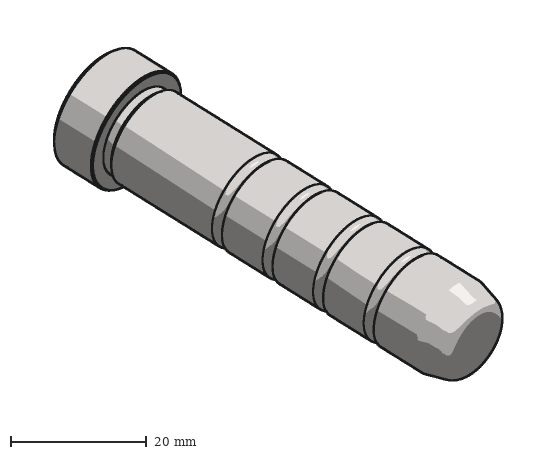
import cadquery as cq
import math

length = 75.0
head_radius = 30 / 3
head_length = 24 / 3
head_front_chamfer = 0.5
head_back_chamfer = 0.2

neck_radius = 7.5
neck_end = 9.5
shank_radius = 24 / 3
shank_chamfer = shank_radius - neck_radius

groove_count = 4
first_groove_center = 30.9
groove_pitch = 30 / 3
groove_width = 1.95
groove_depth = 0.7

taper_start = 70.0
taper_angle = 15.0
taper_blend_radius = 1.0
tip_radius = 2.0

center_mouth_radius = 2.25
center_pilot_radius = 1.3
center_cone_half_angle = 45.0
center_pilot_length = 2.25
drill_tip_half_angle = 60.0


def make_body():
    """Revolve the stepped outline without grooves, then round the lead-in edges."""
    taper_drop = (length - taper_start) * math.tan(math.radians(taper_angle))
    body = (
        cq.Workplane("XY")
        .moveTo(0, 0)
        .lineTo(0, head_radius - head_front_chamfer)
        .lineTo(head_front_chamfer, head_radius)
        .lineTo(head_length - head_back_chamfer, head_radius)
        .lineTo(head_length, head_radius - head_back_chamfer)
        .lineTo(head_length, neck_radius)
        .lineTo(neck_end, neck_radius)
        .lineTo(neck_end + shank_chamfer, shank_radius)
        .lineTo(taper_start, shank_radius)
        .lineTo(length, shank_radius - taper_drop)
        .lineTo(length, 0)
        .close()
        .revolve(360, (0, 0, 0), (1, 0, 0))
    )
    body = body.faces(">X").edges("%CIRCLE").fillet(tip_radius)
    taper_edge = cq.selectors.BoxSelector(
        (taper_start - 0.1, -head_radius, -head_radius),
        (taper_start + 0.1, head_radius, head_radius),
    )
    return body.edges(taper_edge).edges("%CIRCLE").fillet(taper_blend_radius)


def make_groove(center):
    """Ring with a circular-arc floor, to be cut from the shank."""
    half_width = groove_width / 2
    outer_radius = shank_radius + groove_depth
    return (
        cq.Workplane("XY")
        .moveTo(center - half_width, outer_radius)
        .lineTo(center - half_width, shank_radius)
        .threePointArc(
            (center, shank_radius - groove_depth),
            (center + half_width, shank_radius),
        )
        .lineTo(center + half_width, outer_radius)
        .close()
        .revolve(360, (0, 0, 0), (1, 0, 0))
    )


def make_center_hole():
    """Conical mouth, cylindrical pilot and pointed drill tip."""
    cone_half_angle = math.radians(center_cone_half_angle)
    cone_depth = (center_mouth_radius - center_pilot_radius) / math.tan(cone_half_angle)
    pilot_end = cone_depth + center_pilot_length
    tip_depth = center_pilot_radius / math.tan(math.radians(drill_tip_half_angle))
    return (
        cq.Workplane("XY")
        .moveTo(0, 0)
        .lineTo(0, center_mouth_radius)
        .lineTo(cone_depth, center_pilot_radius)
        .lineTo(pilot_end, center_pilot_radius)
        .lineTo(pilot_end + tip_depth, 0)
        .close()
        .revolve(360, (0, 0, 0), (1, 0, 0))
    )


result = make_body()
for index in range(groove_count):
    result = result.cut(make_groove(first_groove_center + index * groove_pitch))
result = result.cut(make_center_hole())